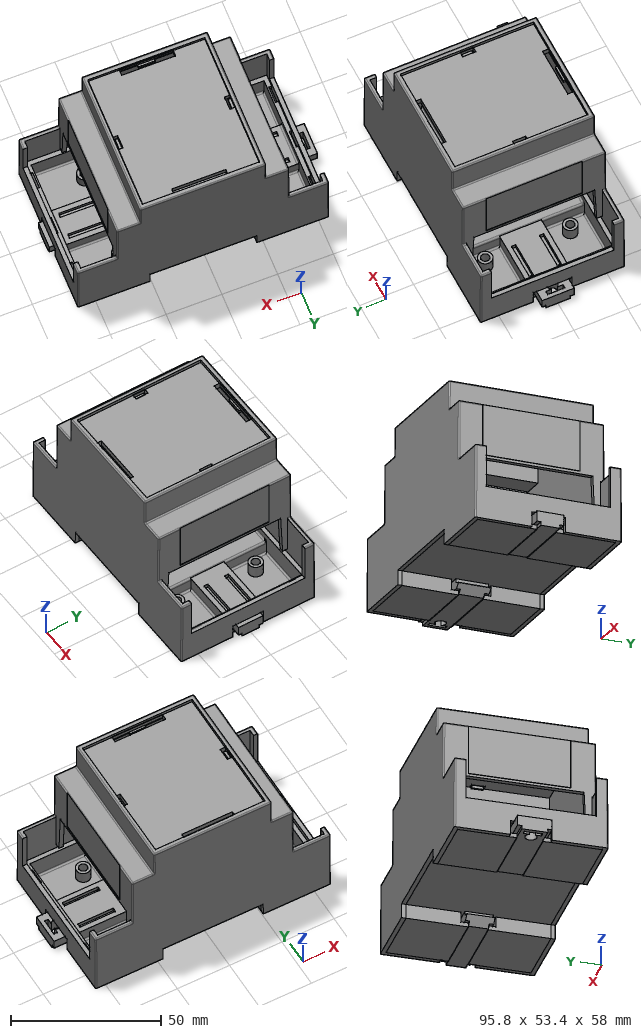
import cadquery as cq
COVER_HALF_LENGTH = 45.0
MIDDLE_HALF_LENGTH = 30.8
UPPER_HALF_LENGTH = 22.5
LOWER_HEIGHT = 26.4
MIDDLE_HEIGHT = 47.6
COVER_HEIGHT = 58.0
FOOT_HALF_WIDTH = 26.68
TOP_HALF_WIDTH = 26.3
WALL = 1.6
EDGE_ROUND = 0.5
CAVITY_HALF_LENGTH = COVER_HALF_LENGTH - WALL
CAVITY_HALF_WIDTH = 25.1

RAIL_HALF_WIDTH = 19.2
RAIL_DEPTH = 5.3

SILL_HEIGHT = 11.7
END_OPENING_HALF_WIDTH = 22.6
WINDOW_TOP = 28.4
WINDOW_TOP_HALF_WIDTH = 22.3
WINDOW_SILL_HALF_WIDTH = 23.1
LABEL_HALF_WIDTH = 17.7
LABEL_BOTTOM = 29.4
LABEL_DEPTH = 0.2

PANEL_HALF_LENGTH = 21.0
PANEL_HALF_WIDTH = 24.6
PANEL_DEPTH = 1.2
PANEL_THICKNESS = 2.1
PANEL_UNDERSIDE = COVER_HEIGHT - PANEL_DEPTH - PANEL_THICKNESS
SLOT_OVERLAP = 0.2
SIDE_SLOT = (19.35, 2.1)
SIDE_LEDGE = (6.1, 0.6)
END_SLOT = (4.8, 1.8)
END_LEDGE = (4.0, 0.8)
LEDGE_OVERLAP = 0.5
LEDGE_TOP = 55.1
LEDGE_THICKNESS = 1.1

RIM_HEIGHT = 9.9
FLOOR = 1.6
BLOCK_HALF_LENGTH = RAIL_HALF_WIDTH + 1.4
BLOCK_TOP = 6.8
TRAY_CAVITY_HALF_LENGTH = CAVITY_HALF_LENGTH - WALL
TRAY_CAVITY_HALF_WIDTH = CAVITY_HALF_WIDTH - WALL
TRAY_ROUND = 0.7
BLOCK_ROUND = 0.8
CHANNEL_TOP = 6.7
CHANNEL_WALL = 0.6
CHANNEL_SLOT_WIDTH = 1.5
CHANNEL_SLOT_START = 39.3
CHANNEL_SLOT_END = 25.7
BOSS_X = 25.8
BOSS_Y = 15.7
BOSS_RADIUS = 2.6
BOSS_BORE_RADIUS = 1.5
BOSS_TOP = 6.3
NOTCH_LENGTH = 6.0
NOTCH_SPACING = 17.7
NOTCH_WIDTH = 1.1
CENTRE_NOTCH_WIDTH = 0.7
NOTCH_DEPTH = 2.9

LEFT_CLIP_HALF_WIDTH = 5.9
RIGHT_CLIP_HALF_WIDTH = 4.9
LEFT_CLIP_REACH = 4.17
RIGHT_CLIP_REACH = 95.8 - 2 * COVER_HALF_LENGTH - LEFT_CLIP_REACH
CLIP_SIDE_GAP = 1.2
CLIP_BOTTOM = 0.3
CLIP_REBATE_WIDTH = 1.4
CLIP_REBATE_TOP = 1.5
HOOK_STEP = 1.0
HOOK_STEP_HEIGHT = 3.9
HOOK_TIP = 3.2
HOOK_TIP_HEIGHT = 3.2
PULL_SLOT_START = 1.5
PULL_SLOT_END = 2.9
PULL_SLOT_HALF_LENGTH = 3.2
PULL_HOLE_RADIUS = 2.0
PULL_HOLE_OFFSET = 4.6

ENDS = [
    (-1, LEFT_CLIP_HALF_WIDTH, LEFT_CLIP_REACH),
    (1, RIGHT_CLIP_HALF_WIDTH, RIGHT_CLIP_REACH),
]


def block(x1, x2, y1, y2, z1, z2):
    """Box between two opposite corners, given in either order along X and Y."""
    size_x = abs(x2 - x1)
    size_y = abs(y2 - y1)
    centre = ((x1 + x2) / 2, (y1 + y2) / 2, (z1 + z2) / 2)
    return cq.Workplane("XY").box(size_x, size_y, z2 - z1).translate(centre)


def centred_block(half_x, half_y, z1, z2):
    return block(-half_x, half_x, -half_y, half_y, z1, z2)


def rail_recess():
    return centred_block(RAIL_HALF_WIDTH, FOOT_HALF_WIDTH + WALL, -WALL, RAIL_DEPTH)


def clip_tunnel(end, clip_half_width):
    """Passage for a clip, from outside the end wall into the rail recess."""
    half_width = clip_half_width + CLIP_SIDE_GAP
    outside = COVER_HALF_LENGTH + WALL
    return block(end * RAIL_HALF_WIDTH, end * outside, -half_width, half_width, -WALL, RAIL_DEPTH)



def cover_blank():
    """Three-tier block with drafted sides and rounded edges above the rail recess."""
    right_side = [
        (COVER_HALF_LENGTH, 0),
        (COVER_HALF_LENGTH, LOWER_HEIGHT),
        (MIDDLE_HALF_LENGTH, LOWER_HEIGHT),
        (MIDDLE_HALF_LENGTH, MIDDLE_HEIGHT),
        (UPPER_HALF_LENGTH, MIDDLE_HEIGHT),
        (UPPER_HALF_LENGTH, COVER_HEIGHT),
    ]
    left_side = [(-x, z) for x, z in reversed(right_side)]
    tiers = (
        cq.Workplane("XZ").polyline(right_side + left_side).close()
        .extrude(FOOT_HALF_WIDTH, both=True)
    )
    drafted_section = [
        (-FOOT_HALF_WIDTH, 0),
        (FOOT_HALF_WIDTH, 0),
        (TOP_HALF_WIDTH, COVER_HEIGHT),
        (-TOP_HALF_WIDTH, COVER_HEIGHT),
    ]
    draft = cq.Workplane("YZ").polyline(drafted_section).close().extrude(COVER_HALF_LENGTH, both=True)
    blank = tiers.intersect(draft)
    return blank.edges("not(<Z)").fillet(EDGE_ROUND)


def cover_cavity():
    """Interior of the cover, stepped like the outside and open below and at the wiring ends."""
    lower = centred_block(CAVITY_HALF_LENGTH, CAVITY_HALF_WIDTH, -WALL, WINDOW_TOP)
    middle = centred_block(MIDDLE_HALF_LENGTH - WALL, CAVITY_HALF_WIDTH, 0, MIDDLE_HEIGHT - WALL)
    upper = centred_block(UPPER_HALF_LENGTH - WALL, CAVITY_HALF_WIDTH, 0, PANEL_UNDERSIDE)
    return lower.union(middle).union(upper)


def window_jambs():
    """Tapered strips at both sides of each wiring window, in line with the middle tier's end wall."""
    section = [
        (WINDOW_TOP_HALF_WIDTH, WINDOW_TOP),
        (CAVITY_HALF_WIDTH, WINDOW_TOP),
        (CAVITY_HALF_WIDTH, SILL_HEIGHT),
        (WINDOW_SILL_HALF_WIDTH, SILL_HEIGHT),
    ]
    jamb = (
        cq.Workplane("YZ").workplane(offset=MIDDLE_HALF_LENGTH - WALL)
        .polyline(section).close().extrude(WALL)
    )
    jambs = jamb.union(jamb.mirror("XZ"))
    jambs = jambs.union(jambs.mirror("YZ"))
    return jambs


def end_opening(end):
    return block(
        end * MIDDLE_HALF_LENGTH, end * (COVER_HALF_LENGTH + WALL),
        -END_OPENING_HALF_WIDTH, END_OPENING_HALF_WIDTH, SILL_HEIGHT, LOWER_HEIGHT + WALL,
    )


def label_recess(end):
    return block(
        end * (MIDDLE_HALF_LENGTH - LABEL_DEPTH), end * COVER_HALF_LENGTH,
        -LABEL_HALF_WIDTH, LABEL_HALF_WIDTH, LABEL_BOTTOM, MIDDLE_HEIGHT,
    )


def panel_edge_feature(length, width, edge_distance, angle, z1, z2, overlap):
    """Box along one panel edge, reaching inward by width and outward by overlap."""
    feature = block(edge_distance - width, edge_distance + overlap, -length / 2, length / 2, z1, z2)
    return feature.rotate((0, 0, 0), (0, 0, 1), angle)


def make_cover():
    cover = cover_blank().cut(cover_cavity()).union(window_jambs())
    cover = cover.cut(rail_recess())
    panel_top = COVER_HEIGHT - PANEL_DEPTH
    cover = cover.cut(centred_block(PANEL_HALF_LENGTH, PANEL_HALF_WIDTH, panel_top, COVER_HEIGHT))
    for end, clip_half_width, _ in ENDS:
        cover = cover.cut(end_opening(end)).cut(label_recess(end))
        cover = cover.cut(clip_tunnel(end, clip_half_width))
    for angle in (0, 90, 180, 270):
        on_side = angle in (90, 270)
        slot = SIDE_SLOT if on_side else END_SLOT
        ledge = SIDE_LEDGE if on_side else END_LEDGE
        edge = PANEL_HALF_WIDTH if on_side else PANEL_HALF_LENGTH
        ledge_bottom = LEDGE_TOP - LEDGE_THICKNESS
        cover = cover.cut(panel_edge_feature(*slot, edge, angle, PANEL_UNDERSIDE, panel_top, SLOT_OVERLAP))
        cover = cover.union(
            panel_edge_feature(*ledge, edge, angle, ledge_bottom, LEDGE_TOP, LEDGE_OVERLAP)
        )
    return cover



def round_edge(body, edge_middle, radius):
    """Fillet the edge of a body whose middle lies at the given point."""
    return body.edges(cq.selectors.NearestToPointSelector(edge_middle)).fillet(radius)


def tray():
    """Open tray with the raised block over the rail and a raised channel over each clip."""
    body = centred_block(CAVITY_HALF_LENGTH, CAVITY_HALF_WIDTH, 0, RIM_HEIGHT)
    body = body.cut(centred_block(TRAY_CAVITY_HALF_LENGTH, TRAY_CAVITY_HALF_WIDTH, FLOOR, RIM_HEIGHT))
    body = body.union(centred_block(BLOCK_HALF_LENGTH, TRAY_CAVITY_HALF_WIDTH, 0, BLOCK_TOP))
    for side in (-1, 1):
        body = round_edge(body, (0, side * TRAY_CAVITY_HALF_WIDTH, BLOCK_TOP), TRAY_ROUND)
    for end in (-1, 1):
        body = round_edge(body, (end * BLOCK_HALF_LENGTH, 0, BLOCK_TOP), BLOCK_ROUND)
    for end, clip_half_width, _ in ENDS:
        half_width = clip_half_width + CLIP_SIDE_GAP + CHANNEL_WALL
        body = body.union(block(
            end * RAIL_HALF_WIDTH, end * CAVITY_HALF_LENGTH, -half_width, half_width, 0, CHANNEL_TOP,
        ))
        body = round_edge(body, (end * TRAY_CAVITY_HALF_LENGTH, 0, CHANNEL_TOP), TRAY_ROUND)
    floor_level = cq.selectors.BoxSelector(
        (-COVER_HALF_LENGTH, -FOOT_HALF_WIDTH, FLOOR - EDGE_ROUND),
        (COVER_HALF_LENGTH, FOOT_HALF_WIDTH, FLOOR + EDGE_ROUND),
    )
    return body.edges(floor_level).fillet(TRAY_ROUND)


def channel_slots(end, clip_half_width):
    """Two slots through the roof of a clip channel, along the sides of the clip."""
    slots = cq.Workplane("XY")
    for side in (-1, 1):
        slots = slots.union(block(
            end * CHANNEL_SLOT_START, end * CHANNEL_SLOT_END,
            side * clip_half_width, side * (clip_half_width - CHANNEL_SLOT_WIDTH),
            RAIL_DEPTH, CHANNEL_TOP,
        ))
    return slots


def clip_guides(end, clip_half_width):
    """Rails along the foot of a clip channel that run in the rebates of the clip."""
    guides = cq.Workplane("XY")
    for side in (-1, 1):
        guides = guides.union(block(
            end * RAIL_HALF_WIDTH, end * CAVITY_HALF_LENGTH,
            side * (clip_half_width - CLIP_REBATE_WIDTH), side * (clip_half_width + CLIP_SIDE_GAP),
            0, CLIP_REBATE_TOP,
        ))
    return guides


def rim_notches(end):
    """Snap notches in the outer edge of an end rim: two sloped ones and a straight one between."""
    inner = end * (CAVITY_HALF_LENGTH - CENTRE_NOTCH_WIDTH)
    outer = end * CAVITY_HALF_LENGTH
    bottom = RIM_HEIGHT - NOTCH_DEPTH
    notches = block(inner, outer, -NOTCH_LENGTH / 2, NOTCH_LENGTH / 2, bottom, RIM_HEIGHT)
    wedge_section = [(outer, bottom), (outer, RIM_HEIGHT), (outer - end * NOTCH_WIDTH, RIM_HEIGHT)]
    for y in (-NOTCH_SPACING, NOTCH_SPACING):
        wedge = cq.Workplane("XZ").polyline(wedge_section).close().extrude(NOTCH_LENGTH / 2, both=True)
        notches = notches.union(wedge.translate((0, y, 0)))
    return notches


def make_base():
    base = tray().cut(rail_recess())
    for end, clip_half_width, _ in ENDS:
        base = base.cut(clip_tunnel(end, clip_half_width))
        base = base.union(clip_guides(end, clip_half_width))
        base = base.cut(channel_slots(end, clip_half_width)).cut(rim_notches(end))
    boss_centres = [(x, y) for x in (-BOSS_X, BOSS_X) for y in (-BOSS_Y, BOSS_Y)]
    bosses = (
        cq.Workplane("XY").workplane(offset=FLOOR).pushPoints(boss_centres)
        .circle(BOSS_RADIUS).circle(BOSS_BORE_RADIUS).extrude(BOSS_TOP - FLOOR)
    )
    return base.union(bosses)



def make_clip(end, half_width, reach):
    """Sliding clip with a hook in the rail recess and rebates along its lower edges."""
    outer_end = COVER_HALF_LENGTH + reach
    profile = [
        (outer_end, CLIP_BOTTOM),
        (outer_end, RAIL_DEPTH),
        (RAIL_HALF_WIDTH - HOOK_STEP, RAIL_DEPTH),
        (RAIL_HALF_WIDTH - HOOK_STEP, HOOK_STEP_HEIGHT),
        (RAIL_HALF_WIDTH - HOOK_TIP, HOOK_TIP_HEIGHT),
        (RAIL_HALF_WIDTH, CLIP_BOTTOM),
    ]
    clip = (
        cq.Workplane("XZ").polyline([(end * x, z) for x, z in profile]).close()
        .extrude(half_width, both=True)
    )
    for side in (-1, 1):
        clip = clip.cut(block(
            end * (RAIL_HALF_WIDTH - HOOK_TIP), end * outer_end,
            side * (half_width - CLIP_REBATE_WIDTH), side * half_width, 0, CLIP_REBATE_TOP,
        ))
    return clip


def pull_hole(end, reach):
    """Keyhole through the protruding end of a clip: a cross slot joined to a round hole."""
    outer_end = COVER_HALF_LENGTH + reach
    slot = block(
        end * (outer_end - PULL_SLOT_START), end * (outer_end - PULL_SLOT_END),
        -PULL_SLOT_HALF_LENGTH, PULL_SLOT_HALF_LENGTH, 0, RAIL_DEPTH,
    )
    hole = (
        cq.Workplane("XY").center(end * (outer_end - PULL_HOLE_OFFSET), 0)
        .circle(PULL_HOLE_RADIUS).extrude(RAIL_DEPTH)
    )
    return slot.union(hole)


cover = make_cover()
base = make_base()
clips = [make_clip(*row) for row in ENDS]
clips[0] = clips[0].cut(pull_hole(-1, LEFT_CLIP_REACH))

result = cq.Compound.makeCompound([cover.val(), base.val(), *[clip.val() for clip in clips]])